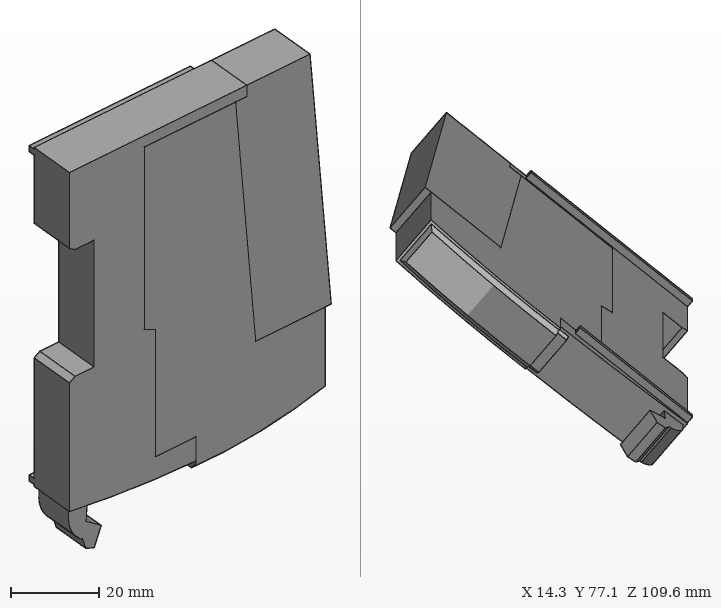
import cadquery as cq

body_width = 12.5
total_depth = 77.1
total_height = 109.6

cover_bottom = 36.6
cover_top_front = 70.8
cover_inner_top = 48.9
cover_inner_bottom = 54.8

joint_top_y = 52.2
joint_top_z = total_height - 3.2
joint_back_y = 22.0
joint_jog_y = 25.3
joint_jog_top = 55.3
joint_jog_bottom = 53.7
joint_bottom_y = 37.3
joint_bottom_z = 18.1


housing_front = 75.3
housing_front_bottom = 14.5
housing_arc_middle = (57.5, 10.9)
housing_back_bottom = 10.1
keel_inset = 0.5
keel_drop = 1.6
keel_taper_width = 1.1

notch_depth = 7.2
notch_top = 87.3
notch_bottom = 51.7
notch_lead_in_depth = 1.6
notch_lead_in_height = 1.1
base_back_bottom = 14.6
base_arc_middle = (17.5, 12.4)
base_front_bottom = 11.3

tab_back = 34.4
tab_drop = 1.1
tab_side_inset = 0.7
tab_taper_width = 0.7
tab_overlap = 1.1

rib_size = 1.8
rib_lengths_and_tops = [(47.5, total_height - 0.4), (33.0, 16.9)]

foot_side_inset = 0.9
foot_width = 10.5
foot_back = 0.7
foot_front = 6.2
foot_bend_start = 12.7
foot_bend_middle = (1.4, 8.0)
foot_bend_end = (4.2, 4.3)
foot_heel = (4.7, 4.2)
foot_tip_back = (5.8, 0.9)
foot_tip = (8.2, 0)
foot_hook_point = (10.3, 5.3)
foot_hook_root = (5.8, 8.5)


def side_sketch(x=0.0):
    """Workplane at the given X whose local axes are the part's Y and Z."""
    return cq.Workplane("YZ", origin=(x, 0, 0))


def make_cover():
    return (
        side_sketch()
        .moveTo(cover_top_front, total_height)
        .lineTo(joint_top_y, total_height)
        .lineTo(joint_top_y, joint_top_z)
        .lineTo(cover_inner_top, joint_top_z)
        .lineTo(cover_inner_bottom, cover_bottom)
        .lineTo(total_depth, cover_bottom)
        .close()
        .extrude(body_width)
    )


def make_housing():
    block = (
        side_sketch()
        .moveTo(cover_inner_top, joint_top_z)
        .lineTo(joint_back_y, joint_top_z)
        .lineTo(joint_back_y, joint_jog_top)
        .lineTo(joint_jog_y, joint_jog_bottom)
        .lineTo(joint_jog_y, joint_bottom_z)
        .lineTo(joint_bottom_y, joint_bottom_z)
        .lineTo(joint_bottom_y, housing_back_bottom)
        .threePointArc(housing_arc_middle, (housing_front, housing_front_bottom))
        .lineTo(housing_front, cover_bottom)
        .lineTo(cover_inner_bottom, cover_bottom)
        .close()
        .extrude(body_width)
    )
    return block.union(make_keel())


def make_keel():
    """Strip following the housing's curved underside, tapered on both sides and at the front."""
    front = housing_front - keel_inset
    front_bottom = housing_front_bottom - keel_drop
    arc_middle_y, arc_middle_z = housing_arc_middle
    strip = (
        side_sketch(keel_inset)
        .moveTo(joint_bottom_y, joint_bottom_z)
        .lineTo(joint_bottom_y, housing_back_bottom - keel_drop)
        .threePointArc((arc_middle_y, arc_middle_z - keel_drop), (front, front_bottom))
        .lineTo(front, joint_bottom_z)
        .close()
        .extrude(body_width - 2 * keel_inset)
    )
    front_corner = (body_width / 2, front, front_bottom)
    front_edge = strip.edges(cq.selectors.NearestToPointSelector(front_corner))
    return strip.edges("%CIRCLE").add(front_edge).chamfer(keel_taper_width, keel_drop)


def make_base():
    base = (
        side_sketch()
        .moveTo(0, total_height)
        .lineTo(joint_top_y, total_height)
        .lineTo(joint_top_y, joint_top_z)
        .lineTo(joint_back_y, joint_top_z)
        .lineTo(joint_back_y, joint_jog_top)
        .lineTo(joint_jog_y, joint_jog_bottom)
        .lineTo(joint_jog_y, joint_bottom_z)
        .lineTo(joint_bottom_y, joint_bottom_z)
        .lineTo(joint_bottom_y, base_front_bottom)
        .threePointArc(base_arc_middle, (0, base_back_bottom))
        .lineTo(0, notch_bottom - notch_lead_in_height)
        .lineTo(notch_lead_in_depth, notch_bottom)
        .lineTo(notch_depth, notch_bottom)
        .lineTo(notch_depth, notch_top)
        .lineTo(notch_lead_in_depth, notch_top)
        .lineTo(0, notch_top + notch_lead_in_height)
        .close()
        .extrude(body_width)
    )
    base = base.union(make_tab())
    for length, top in rib_lengths_and_tops:
        base = base.union(make_rib(length, top))
    return base


def make_tab():
    """Tab whose sides slope inward below the base."""
    root = base_front_bottom
    right = body_width - tab_side_inset
    return (
        cq.Workplane("XZ", origin=(0, joint_bottom_y, 0))
        .moveTo(tab_side_inset, root + tab_overlap)
        .lineTo(tab_side_inset, root)
        .lineTo(tab_side_inset + tab_taper_width, root - tab_drop)
        .lineTo(right - tab_taper_width, root - tab_drop)
        .lineTo(right, root)
        .lineTo(right, root + tab_overlap)
        .close()
        .extrude(joint_bottom_y - tab_back)
    )


def make_rib(length, top):
    corner = (-rib_size, 0, top - rib_size)
    return cq.Workplane("XY", origin=corner).box(rib_size, length, rib_size, centered=False)


def make_foot(base):
    """Hooked latch whose top follows the curved underside of the base."""
    blank = (
        side_sketch(foot_side_inset)
        .moveTo(foot_back, base_back_bottom)
        .lineTo(foot_back, foot_bend_start)
        .threePointArc(foot_bend_middle, foot_bend_end)
        .lineTo(*foot_heel)
        .lineTo(*foot_tip_back)
        .lineTo(*foot_tip)
        .lineTo(*foot_hook_point)
        .lineTo(*foot_hook_root)
        .lineTo(foot_front, base_back_bottom)
        .close()
        .extrude(foot_width)
    )
    return blank.cut(base)


cover = make_cover()
housing = make_housing()
base = make_base()
foot = make_foot(base)

result = cq.Compound.makeCompound([
    cover.val(),
    housing.solids().val(),
    base.solids().val(),
    foot.solids().val(),
])